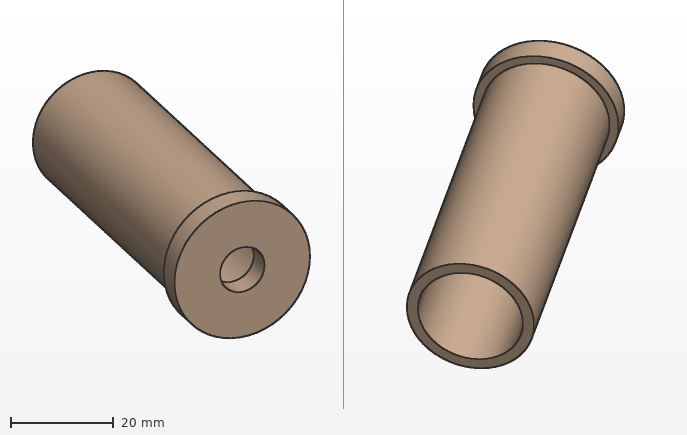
import cadquery as cq

total_length = 70.0
flange_thickness = 5.05
flange_diameter = 29.0
tube_diameter = 25.4
bore_diameter = 20.9
end_hole_diameter = 9.5

bore_depth = total_length - flange_thickness


def cylinder_along_x(diameter, start, length):
    return cq.Workplane("YZ").workplane(offset=start).circle(diameter / 2).extrude(length)


tube = cylinder_along_x(tube_diameter, 0, total_length)
flange = cylinder_along_x(flange_diameter, total_length - flange_thickness, flange_thickness)
bore = cylinder_along_x(bore_diameter, 0, bore_depth)
end_hole = cylinder_along_x(end_hole_diameter, 0, total_length)

result = tube.union(flange).cut(bore).cut(end_hole)